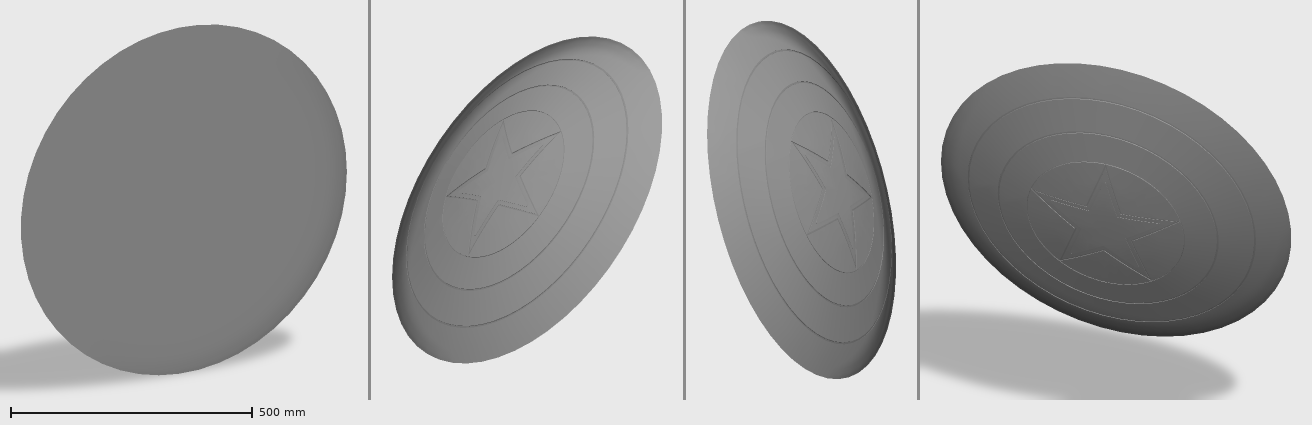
import cadquery as cq
import math

rim_radius = 380.0
dome_height = 90.0
sphere_radius = (rim_radius**2 + dome_height**2) / (2 * dome_height)

ring_center_diameters = (476.0, 622.0)
ring_groove_width = 4.0
groove_depth = 1.5

disc_diameter = 340.0
disc_line_width = 1.5
disc_radius = disc_diameter / 2 + disc_line_width

star_points = 5
star_corner_ratio = math.cos(math.radians(72)) / math.cos(math.radians(36))
star_groove_width = 3.0
inner_star_offset = 12.0
inner_star_tip_fillet = 3.0
inner_star_height = 1.0

prism_lead = 7.5
prism_length = 83.5


def corner_point(radius, index):
    """Star corner in the YZ plane; index 0 is straight up along +Z."""
    angle = math.radians(90) + index * math.pi / star_points
    return (radius * math.cos(angle), radius * math.sin(angle))


def star_prism(inset, tip_fillet=0.0):
    """Star along X whose edges lie the inset distance inside the full star."""
    edge_distance_ratio = math.cos(math.radians(72))
    tip_radius = disc_radius - inset / edge_distance_ratio
    corners = []
    for index in range(2 * star_points):
        radius = tip_radius if index % 2 == 0 else tip_radius * star_corner_ratio
        corners.append(corner_point(radius, index))
    prism = cq.Workplane("YZ", origin=(-prism_lead, 0, 0)).polyline(corners).close().extrude(prism_length)
    if tip_fillet:
        for index in range(0, 2 * star_points, 2):
            tip = corner_point(tip_radius, index)
            edge_middle = (prism_length / 2 - prism_lead, *tip)
            prism = prism.edges(cq.NearestToPointSelector(edge_middle)).fillet(tip_fillet)
    return prism


def ring_prism(outer_radius, width):
    return (
        cq.Workplane("YZ", origin=(-prism_lead, 0, 0))
        .circle(outer_radius)
        .circle(outer_radius - width)
        .extrude(prism_length)
    )


def spherical_cap(depth):
    """Flat-backed dome whose spherical face lies the given depth below the outer face."""
    face_radius = sphere_radius - depth
    back_to_center = sphere_radius - dome_height
    edge_radius = math.sqrt(face_radius**2 - back_to_center**2)
    half_angle = math.asin(edge_radius / face_radius) / 2
    arc_middle = (sphere_radius - face_radius * math.cos(half_angle), face_radius * math.sin(half_angle))
    return (
        cq.Workplane("XY")
        .moveTo(depth, 0)
        .threePointArc(arc_middle, (dome_height, edge_radius))
        .lineTo(dome_height, 0)
        .close()
        .revolve(360, (0, 0, 0), (1, 0, 0))
    )


dome = spherical_cap(0)
groove_floor = spherical_cap(groove_depth)

for diameter in ring_center_diameters:
    dome = dome.cut(ring_prism((diameter + ring_groove_width) / 2, ring_groove_width).cut(groove_floor))
dome = dome.cut(ring_prism(disc_radius, disc_line_width).cut(groove_floor))

star_outline = star_prism(0).cut(star_prism(star_groove_width))
dome = dome.cut(star_outline.cut(groove_floor))

border = star_prism(star_groove_width).cut(star_prism(inner_star_offset, inner_star_tip_fillet))
result = dome.cut(border.cut(spherical_cap(inner_star_height)))